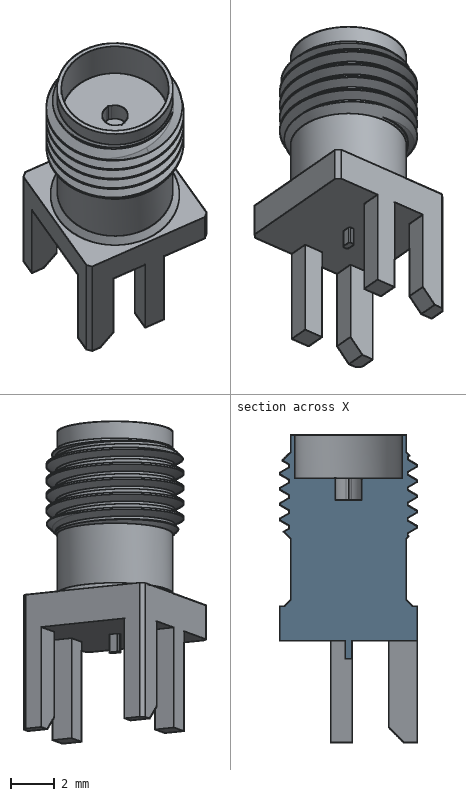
import math

import cadquery as cq


flange_side = 6.35
overall_height = 14.2
leg_length = 4.7
flange_thickness = 1.6
flange_corner_chamfer = 0.2
top_z = overall_height - leg_length

leg_width = 1.0
middle_leg_offset_y = 0.32
front_leg_depth = 1.32
front_leg_chamfer = 0.7

barrel_diameter = 5.35
barrel_radius = barrel_diameter / 2
collar_height = 0.3
bore_diameter = 4.95
bore_depth = 2.0

socket_diameter = 1.18
socket_depth = 1.0
socket_notch_reach = 0.64
socket_notch_depth = 0.12

tail_width = 0.52
tail_thickness = 0.3
tail_length = 0.84
tail_chamfer = 0.07

inch = 25.4
thread_pitch = inch / 36
thread_major_radius = flange_side / 2
thread_minor_radius = 2.75
thread_half_angle = math.radians(30)
thread_crest_width = thread_pitch / 8
thread_root_overlap = 0.1
thread_crest_clearance = 0.2
thread_top_z = top_z - 0.8
thread_bottom_z = top_z - 4.8
thread_crest_z = top_z - 1.255
turns_below_crest = 6
turns_total = 8


def make_flange():
    return (
        cq.Workplane("XY")
        .rect(flange_side, flange_side)
        .extrude(flange_thickness)
        .edges("|Z")
        .chamfer(flange_corner_chamfer)
    )


def make_leg(side, center_y, depth):
    """Leg flush with the -X (side = -1) or +X (side = 1) face of the flange."""
    center_x = side * (flange_side - leg_width) / 2
    return (
        cq.Workplane("XY")
        .center(center_x, center_y)
        .rect(leg_width, depth)
        .extrude(-leg_length)
    )


def make_front_leg(side):
    """Corner leg with a chamfered outer edge and a chamfered inner foot."""
    leg = make_leg(side, (front_leg_depth - flange_side) / 2, front_leg_depth)
    outer_edge = "|Z and <Y and " + (">X" if side > 0 else "<X")
    leg = leg.edges(outer_edge).chamfer(flange_corner_chamfer)
    return leg.faces("<Z").edges(">Y").chamfer(front_leg_chamfer)


def make_tail():
    return (
        cq.Workplane("XY")
        .rect(tail_width, tail_thickness)
        .extrude(-tail_length)
        .edges("|Z")
        .chamfer(tail_chamfer)
    )


def make_barrel():
    """Barrel with a 45 degree collar at the flange and a thread core with 45 degree ends."""
    collar_radius = barrel_radius + collar_height
    core_step = thread_minor_radius - barrel_radius
    return (
        cq.Workplane("XZ")
        .lineTo(barrel_radius, 0)
        .lineTo(barrel_radius, flange_thickness)
        .lineTo(collar_radius, flange_thickness)
        .lineTo(barrel_radius, flange_thickness + collar_height)
        .lineTo(barrel_radius, thread_bottom_z)
        .lineTo(thread_minor_radius, thread_bottom_z + core_step)
        .lineTo(thread_minor_radius, thread_top_z - core_step)
        .lineTo(barrel_radius, thread_top_z)
        .lineTo(barrel_radius, top_z)
        .lineTo(0, top_z)
        .close()
        .revolve(360, (0, 0, 0), (0, 1, 0))
    )


def make_thread_envelope():
    """Cylinder clear of the crests over the threaded length, with 45 degree ends."""
    radius = thread_major_radius + thread_crest_clearance
    run_out = radius - barrel_radius
    return (
        cq.Workplane("XZ")
        .moveTo(0, thread_bottom_z)
        .lineTo(barrel_radius, thread_bottom_z)
        .lineTo(radius, thread_bottom_z + run_out)
        .lineTo(radius, thread_top_z - run_out)
        .lineTo(barrel_radius, thread_top_z)
        .lineTo(0, thread_top_z)
        .close()
        .revolve(360, (0, 0, 0), (0, 1, 0))
    )


def make_helical_solid(profile, turns):
    """Solid swept by a profile of (radius, z) corners along a right-hand helix."""
    rise = turns * thread_pitch
    helices = [
        cq.Wire.makeHelix(thread_pitch, rise, radius, cq.Vector(0, 0, z)) for radius, z in profile
    ]
    next_helices = helices[1:] + helices[:1]
    faces = [cq.Face.makeRuledSurface(*pair) for pair in zip(helices, next_helices)]
    for end_rise in (0, rise):
        corners = [cq.Vector(radius, 0, z + end_rise) for radius, z in profile]
        faces.append(cq.Face.makeFromWires(cq.Wire.makePolygon(corners, close=True)))
    return cq.Workplane(obj=cq.Solid.makeSolid(cq.Shell.makeShell(faces)))


def make_thread_ridge():
    """Helical ridge, slightly sunk into the core and trimmed to the threaded length."""
    start_z = thread_crest_z - turns_below_crest * thread_pitch
    base_radius = thread_minor_radius - thread_root_overlap
    half_crest = thread_crest_width / 2
    half_base = half_crest + (thread_major_radius - base_radius) * math.tan(thread_half_angle)
    profile = [
        (base_radius, start_z - half_base),
        (thread_major_radius, start_z - half_crest),
        (thread_major_radius, start_z + half_crest),
        (base_radius, start_z + half_base),
    ]
    return make_helical_solid(profile, turns_total).intersect(make_thread_envelope())


def make_bore():
    return cq.Workplane("XY", origin=(0, 0, top_z)).circle(bore_diameter / 2).extrude(-bore_depth)


def make_socket():
    """Blind round socket with a small V notch on its +X and -X sides."""
    floor = cq.Workplane("XY", origin=(0, 0, top_z - bore_depth))
    socket = floor.circle(socket_diameter / 2).extrude(-socket_depth)
    root_x = socket_notch_reach - socket_notch_depth
    root_y = 2 * socket_notch_depth
    notches = (
        floor.moveTo(socket_notch_reach, 0)
        .lineTo(root_x, root_y)
        .lineTo(-root_x, root_y)
        .lineTo(-socket_notch_reach, 0)
        .lineTo(-root_x, -root_y)
        .lineTo(root_x, -root_y)
        .close()
        .extrude(-socket_depth)
    )
    return socket.union(notches)


result = make_barrel().union(make_thread_ridge()).union(make_flange())
for leg_side in (-1, 1):
    result = result.union(make_leg(leg_side, middle_leg_offset_y, leg_width))
    result = result.union(make_front_leg(leg_side))
result = result.union(make_tail()).cut(make_bore()).cut(make_socket())